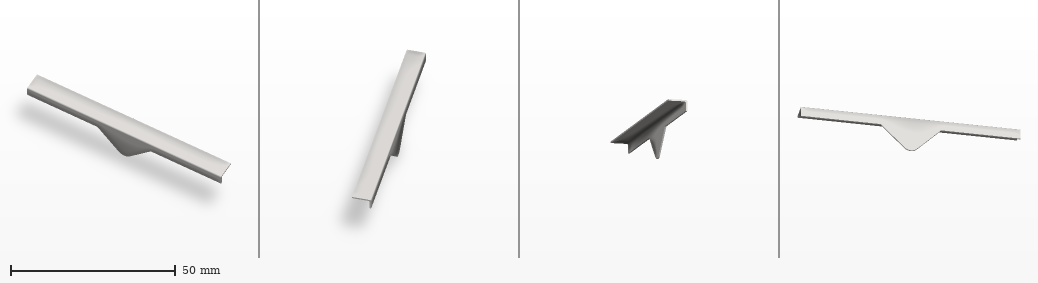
import cadquery as cq
import math

length = 68.0
depth = 6.0
height = 11.6
thickness = 0.5

bend_radius = 0.5

band_height = 3.4
tab_tip_radius = 2.7

tangent_offset = tab_tip_radius * math.sin(math.radians(45))
tab_drop = height - band_height
tab_half_root = tab_drop + tab_tip_radius * (math.sqrt(2) - 1)

top_z = height / 2
bottom_z = -height / 2


def bent_strip():
    """Angle profile with a full-height apron, bent at the front top edge."""
    outer = cq.Workplane("XY").box(length, depth, height)
    outer = outer.edges("<Y and >Z").fillet(bend_radius)
    hollow = cq.Workplane("XY").box(length, depth, height)
    hollow = hollow.edges("<Y and >Z").fillet(bend_radius)
    return outer.cut(hollow.translate((0, thickness, -thickness)))


def front_outline():
    """Band and rounded tab outline, extruded through the full depth."""
    band_z = top_z - band_height
    flank_z = bottom_z + tab_tip_radius - tangent_offset
    return (
        cq.Workplane("XZ", origin=(0, depth / 2, 0))
        .moveTo(-length / 2, top_z)
        .lineTo(-length / 2, band_z)
        .lineTo(-tab_half_root, band_z)
        .lineTo(-tangent_offset, flank_z)
        .threePointArc((0, bottom_z), (tangent_offset, flank_z))
        .lineTo(tab_half_root, band_z)
        .lineTo(length / 2, band_z)
        .lineTo(length / 2, top_z)
        .close()
        .extrude(depth)
    )


result = bent_strip().intersect(front_outline())